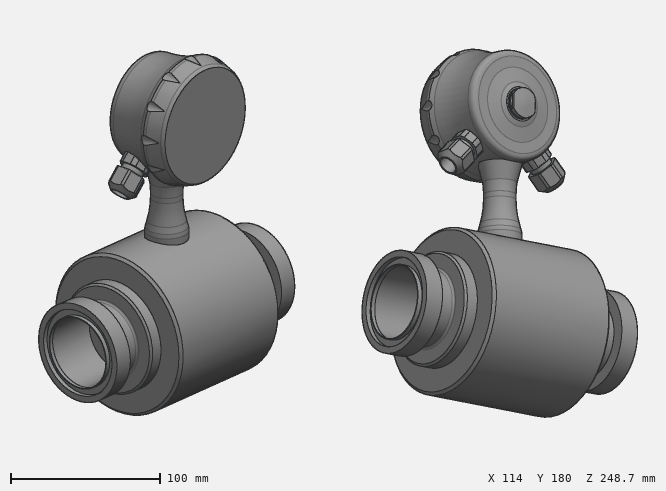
import cadquery as cq
import math

PIPE_LENGTH = 180.0
BODY_DIAMETER = 114.0
BODY_LENGTH = 100.0
BODY_CHAMFER = 2.0
HUB_DIAMETER = 78.0
HUB_LENGTH = 120.0
HUB_CHAMFER = 1.5
HUB_FILLET = 1.5
PIPE_DIAMETER = 53.0
FLANGE_DIAMETER = 70.0
FLANGE_THICKNESS = 13.5
GROOVE_DIAMETER = 61.0
COLLAR_DIAMETER = 51.0
GROOVE_DEPTH = 3.5
BORE_DIAMETER = 50.0
BORE_DEPTH = (PIPE_LENGTH - BODY_LENGTH) / 2

NECK_BASE_RADIUS = 15.0
NECK_WAIST_RADIUS = 11.0
NECK_FLARE_RADIUS = 60.0
NECK_ROOT_Z = 40.0
NECK_BASE_Z = 60.25
NECK_SHOULDER = (14.5, 63.4)
NECK_FLARE_START_Z = 68.0
NECK_WAIST_LOW_Z = 84.4
NECK_WAIST_HIGH_Z = 88.1
NECK_BELL_START_Z = 96.2
NECK_TOP_Z = 109.0
NECK_TOP_RADIUS = 15.0

HEAD_Z = 146.37
HOUSING_FACE_X = -19.3
HOUSING_FACE_RADIUS = 33.3
HOUSING_EDGE_X = -14.0
HOUSING_EDGE_RADIUS = 38.15
CAP_START_X = 15.4
CAP_START_RADIUS = 43.8
CAP_CREST_START_X = 19.1
CAP_CREST_END_X = 21.5
CAP_CREST_RADIUS = 45.5
CAP_RIM_X = 31.9
CAP_RIM_RADIUS = 42.3
CAP_END_X = 34.4
CAP_END_RADIUS = 40.6

CONE_OUTER_RADIUS = 25.7
CONE_INNER_RADIUS = 15.4
CONE_INNER_X = -21.0
SEAT_RADIUS = 23.5 / 2
SEAT_X = -22.25
BUTTON_RADIUS = 20.8 / 2
BUTTON_BASE_RADIUS = 21.0 / 2
BUTTON_BASE_X = -23.6
BUTTON_RIM_X = -26.8
BUTTON_APEX_X = -28.0
BUTTON_FLATS_WIDTH = 18.0
BUTTON_FLATS_END_X = -24.9

NOTCH_COUNT = 12
NOTCH_APEX_X = 30.8
NOTCH_APEX_LIFT = 0.05
NOTCH_HALF_ANGLE = 25.0
NOTCH_TILT = 32.5
NOTCH_CONE_HEIGHT = 22.0

GLAND_X = -1.8
GLAND_ANGLES = (135.0, -135.0)
GLAND_ROOT = 25.0
FITTING_END = 44.8
FITTING_ACROSS_FLATS = 19.7
FITTING_DIAMETER = 20.8
SLEEVE_DIAMETER = 16.0
NUT_START = 48.7
NUT_END = 64.4
NUT_ACROSS_FLATS = 20.0
NUT_DIAMETER = 22.0
NUT_NOSE_RADIUS = 7.0
CABLE_HOLE_DIAMETER = 12.0
CABLE_HOLE_DEPTH = 12.0


def rod_along_y(diameter, length):
    """Cylinder on the Y axis, centred on the origin."""
    return cq.Workplane("XZ", origin=(0, length / 2, 0)).circle(diameter / 2).extrude(length)


def make_pipe():
    body = rod_along_y(BODY_DIAMETER, BODY_LENGTH).edges().chamfer(BODY_CHAMFER)
    hub = rod_along_y(HUB_DIAMETER, HUB_LENGTH).edges().chamfer(HUB_CHAMFER)
    tube = rod_along_y(PIPE_DIAMETER, PIPE_LENGTH)
    fillet_reach = HUB_LENGTH + 2 * HUB_FILLET
    near_hub = cq.selectors.BoxSelector(
        (-HUB_DIAMETER, -fillet_reach / 2, -HUB_DIAMETER),
        (HUB_DIAMETER, fillet_reach / 2, HUB_DIAMETER),
    )
    where_tube_meets_hub = cq.selectors.RadiusNthSelector(0)
    pipe = hub.union(tube).edges(near_hub).edges(where_tube_meets_hub).fillet(HUB_FILLET).union(body)
    for side in (-1, 1):
        end_face = cq.Workplane("XZ", origin=(0, side * PIPE_LENGTH / 2, 0))
        flange = end_face.circle(FLANGE_DIAMETER / 2).extrude(side * FLANGE_THICKNESS)
        groove = (
            end_face.circle(GROOVE_DIAMETER / 2)
            .circle(COLLAR_DIAMETER / 2)
            .extrude(side * GROOVE_DEPTH)
        )
        bore = end_face.circle(BORE_DIAMETER / 2).extrude(side * BORE_DEPTH)
        pipe = pipe.union(flange).cut(groove).cut(bore)
    return pipe


def flare_radius(distance):
    """Neck radius at an axial distance from the waist, along the flare arc."""
    return NECK_WAIST_RADIUS + NECK_FLARE_RADIUS - math.sqrt(NECK_FLARE_RADIUS**2 - distance**2)


def make_neck():
    lower_flare = NECK_WAIST_LOW_Z - NECK_FLARE_START_Z
    upper_flare = NECK_BELL_START_Z - NECK_WAIST_HIGH_Z
    profile = (
        cq.Workplane("XZ")
        .moveTo(0, NECK_ROOT_Z)
        .lineTo(NECK_BASE_RADIUS, NECK_ROOT_Z)
        .lineTo(NECK_BASE_RADIUS, NECK_BASE_Z)
        .tangentArcPoint(NECK_SHOULDER, relative=False)
        .lineTo(flare_radius(lower_flare), NECK_FLARE_START_Z)
        .threePointArc(
            (flare_radius(lower_flare / 2), NECK_WAIST_LOW_Z - lower_flare / 2),
            (NECK_WAIST_RADIUS, NECK_WAIST_LOW_Z),
        )
        .lineTo(NECK_WAIST_RADIUS, NECK_WAIST_HIGH_Z)
        .threePointArc(
            (flare_radius(upper_flare / 2), NECK_WAIST_HIGH_Z + upper_flare / 2),
            (flare_radius(upper_flare), NECK_BELL_START_Z),
        )
        .lineTo(NECK_TOP_RADIUS, NECK_TOP_Z)
        .lineTo(0, NECK_TOP_Z)
        .close()
    )
    return profile.revolve(360, (0, 0, 0), (0, 1, 0))


def make_head():
    """Housing, cap and button as one turned body on the X axis."""
    radially_out = (0, 1)
    along_axis = (1, 0)
    profile = (
        cq.Workplane("XZ")
        .moveTo(BUTTON_APEX_X, 0)
        .lineTo(BUTTON_RIM_X, BUTTON_RADIUS)
        .lineTo(BUTTON_BASE_X, BUTTON_RADIUS)
        .lineTo(BUTTON_BASE_X, BUTTON_BASE_RADIUS)
        .lineTo(SEAT_X, BUTTON_BASE_RADIUS)
        .lineTo(SEAT_X, SEAT_RADIUS)
        .lineTo(CONE_INNER_X, CONE_INNER_RADIUS)
        .lineTo(HOUSING_FACE_X, CONE_OUTER_RADIUS)
        .lineTo(HOUSING_FACE_X, HOUSING_FACE_RADIUS)
        .spline(
            [(HOUSING_EDGE_X, HOUSING_EDGE_RADIUS)],
            tangents=[radially_out, along_axis],
            includeCurrent=True,
        )
        .tangentArcPoint((CAP_START_X, CAP_START_RADIUS), relative=False)
        .lineTo(CAP_CREST_START_X, CAP_CREST_RADIUS)
        .lineTo(CAP_CREST_END_X, CAP_CREST_RADIUS)
        .lineTo(CAP_RIM_X, CAP_RIM_RADIUS)
        .tangentArcPoint((CAP_END_X, CAP_END_RADIUS), relative=False)
        .lineTo(CAP_END_X, 0)
        .close()
    )
    half_pitch = 180 / NOTCH_COUNT
    head = profile.revolve(360, (0, 0, 0), (1, 0, 0)).rotate((0, 0, 0), (1, 0, 0), half_pitch)
    return cut_grip_notches(cut_button_flats(head))


def cut_button_flats(head):
    flat_depth = BUTTON_FLATS_END_X - BUTTON_APEX_X
    flat_x = (BUTTON_FLATS_END_X + BUTTON_APEX_X) / 2
    for side in (-1, 1):
        flat = cq.Workplane("XY").box(flat_depth, BUTTON_RADIUS, 2 * BUTTON_RADIUS)
        flat_y = side * (BUTTON_FLATS_WIDTH + BUTTON_RADIUS) / 2
        head = head.cut(flat.translate((flat_x, flat_y, 0)))
    return head


def cut_grip_notches(head):
    """Cut tilted cones whose tips sit just above the tapered side of the cap."""
    taper = (CAP_CREST_RADIUS - CAP_RIM_RADIUS) / (CAP_RIM_X - CAP_CREST_END_X)
    apex_radius = CAP_RIM_RADIUS + taper * (CAP_RIM_X - NOTCH_APEX_X) + NOTCH_APEX_LIFT
    cone_radius = NOTCH_CONE_HEIGHT * math.tan(math.radians(NOTCH_HALF_ANGLE))
    tilt = math.radians(NOTCH_TILT)
    cone = cq.Solid.makeCone(
        0,
        cone_radius,
        NOTCH_CONE_HEIGHT,
        pnt=cq.Vector(NOTCH_APEX_X, 0, apex_radius),
        dir=cq.Vector(-math.cos(tilt), 0, math.sin(tilt)),
    )
    for index in range(NOTCH_COUNT):
        angle = index * 360 / NOTCH_COUNT
        head = head.cut(cq.Workplane(cone.rotate(cq.Vector(0, 0, 0), cq.Vector(1, 0, 0), angle)))
    return head


def trimmed_hexagon(across_flats, diameter, start, end):
    """Hexagon bar along Z with its corners turned down to a diameter, corners toward X."""
    plane = cq.Workplane("XY").workplane(offset=start)
    hexagon = plane.polygon(6, across_flats / math.cos(math.pi / 6)).extrude(end - start)
    return hexagon.intersect(plane.circle(diameter / 2).extrude(end - start))


def make_gland():
    """Cable gland standing along +Z from the head axis."""
    fitting = trimmed_hexagon(FITTING_ACROSS_FLATS, FITTING_DIAMETER, GLAND_ROOT, FITTING_END)
    sleeve = (
        cq.Workplane("XY")
        .workplane(offset=GLAND_ROOT)
        .circle(SLEEVE_DIAMETER / 2)
        .extrude(NUT_START - GLAND_ROOT)
    )
    return fitting.union(sleeve).union(make_nut())


def make_nut():
    """Hexagon nut with a 45 degree conical nose and a blind cable hole."""
    nut_radius = NUT_DIAMETER / 2
    shoulder = NUT_END - (nut_radius - NUT_NOSE_RADIUS)
    envelope = (
        cq.Workplane("XZ")
        .moveTo(0, NUT_START)
        .lineTo(nut_radius, NUT_START)
        .lineTo(nut_radius, shoulder)
        .lineTo(NUT_NOSE_RADIUS, NUT_END)
        .lineTo(0, NUT_END)
        .close()
        .revolve(360, (0, 0, 0), (0, 1, 0))
    )
    hole = (
        cq.Workplane("XY")
        .workplane(offset=NUT_END - CABLE_HOLE_DEPTH)
        .circle(CABLE_HOLE_DIAMETER / 2)
        .extrude(CABLE_HOLE_DEPTH)
    )
    hexagon = trimmed_hexagon(NUT_ACROSS_FLATS, NUT_DIAMETER, NUT_START, NUT_END)
    return hexagon.intersect(envelope).cut(hole)


head = make_head()
gland = make_gland().translate((GLAND_X, 0, 0))
for gland_angle in GLAND_ANGLES:
    head = head.union(gland.rotate((0, 0, 0), (1, 0, 0), gland_angle))

result = make_pipe().union(make_neck()).union(head.translate((0, 0, HEAD_Z)))